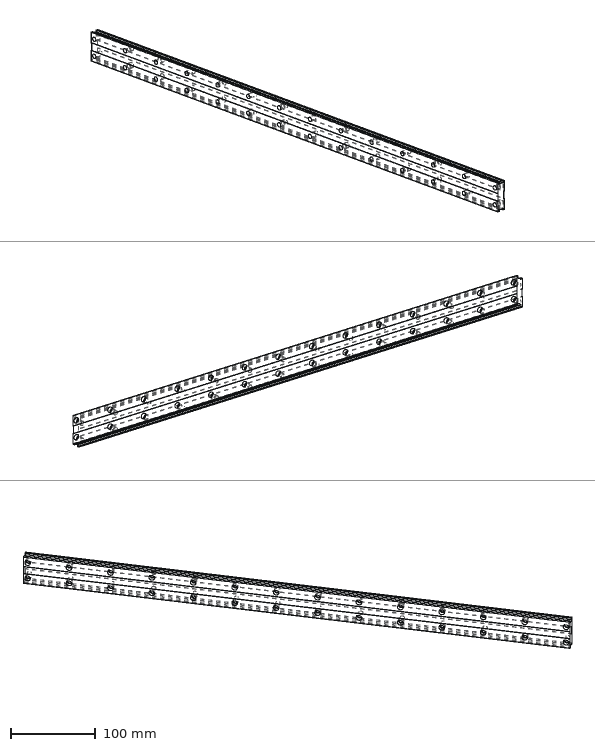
import cadquery as cq

LENGTH = 660.0
THICKNESS = 11.0
HEIGHT = 37.0

EDGE_GROOVE_WIDTH = 6.0
EDGE_GROOVE_DEPTH = 2.0

CHANNEL_WIDTH = 10.0
CHANNEL_DEPTH = 0.5

HOLE_DIAMETER = 5.0
COUNTERBORE_DIAMETER = 6.5
COUNTERBORE_DEPTH = 4.5
HOLES_PER_ROW = 14
HOLE_END_MARGIN = 4.95
HOLE_ROW_SPACING = 22.0
HOLE_PITCH = (LENGTH - 2 * HOLE_END_MARGIN) / (HOLES_PER_ROW - 1)


def edge_groove(side):
    """Groove open on the top (side = 1) or bottom (side = -1) edge."""
    cutter = cq.Workplane("XY").box(LENGTH, EDGE_GROOVE_WIDTH, 2 * EDGE_GROOVE_DEPTH)
    return cutter.translate((0, 0, side * HEIGHT / 2))


def face_channel(side):
    """Channel in the back (side = 1) or front (side = -1) face."""
    cutter = cq.Workplane("XY").box(LENGTH, 2 * CHANNEL_DEPTH, CHANNEL_WIDTH)
    return cutter.translate((0, side * THICKNESS / 2, 0))


def add_screw_holes(body):
    """Drill both rows through from the back face, where the counterbores open."""
    back = cq.Workplane("XZ", origin=(0, THICKNESS / 2, 0))
    positions = back.rarray(HOLE_PITCH, HOLE_ROW_SPACING, HOLES_PER_ROW, 2)
    holes = positions.circle(HOLE_DIAMETER / 2).extrude(THICKNESS)
    counterbores = positions.circle(COUNTERBORE_DIAMETER / 2).extrude(COUNTERBORE_DEPTH)
    return body.cut(holes).cut(counterbores)


bar = cq.Workplane("XY").box(LENGTH, THICKNESS, HEIGHT)
for side in (1, -1):
    bar = bar.cut(edge_groove(side)).cut(face_channel(side))
result = add_screw_holes(bar)